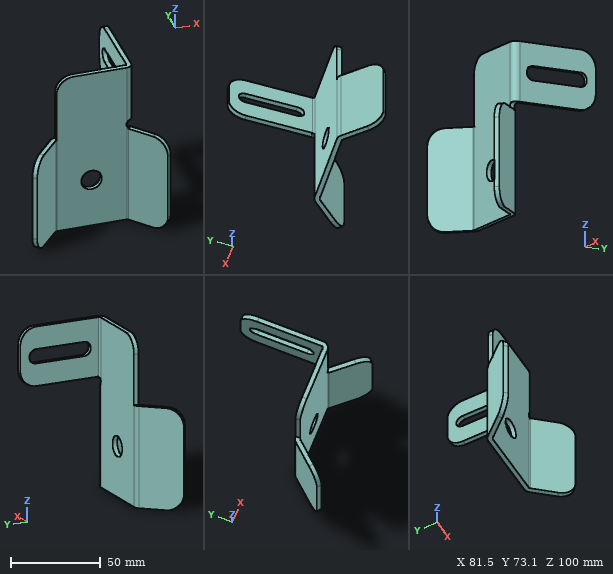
import cadquery as cq
import math

thickness = 3.0
inner_radius = 1.0
outer_radius = inner_radius + thickness
corner_radius = 10.0

height = 100.0
bend_x = 20.6
hole_diameter = 12.0
hole_height = 30.0

overall_width = 81.5
wing_height = 60.0
wing_angle = 49.0
wing_sine = math.sin(math.radians(wing_angle))
wing_cosine = math.cos(math.radians(wing_angle))
wing_length = (overall_width / 2 - bend_x - outer_radius * wing_sine) / wing_cosine

flange_angle = 90.0
flange_reach = 50.0
flange_height = 35.0
slot_length = 38.5
slot_width = 8.4

flange_bottom = height - flange_height
relief_width = flange_bottom - wing_height
relief_radius = relief_width / 2


def make_plate():
    plate = cq.Workplane("XY").box(2 * bend_x, thickness, height, centered=(True, False, False))
    plate = plate.translate((0, -thickness, 0))
    plate = plate.edges("|Y and <X and >Z").fillet(corner_radius)
    hole = (
        cq.Workplane("XZ")
        .center(0, hole_height)
        .circle(hole_diameter / 2)
        .extrude(thickness)
    )
    return plate.cut(hole)


def make_bend(angle, bottom, top):
    """Curved strip at the right bend line; a positive angle folds towards +Y, a negative one towards -Y."""
    if angle > 0:
        side = 1
        center_y = inner_radius
    else:
        side = -1
        center_y = -outer_radius

    def bend_point(radius, turn):
        x = bend_x + radius * math.sin(math.radians(turn))
        y = center_y - side * radius * math.cos(math.radians(turn))
        return (x, y)

    full_turn = abs(angle)
    half_turn = full_turn / 2
    return (
        cq.Workplane("XY", origin=(0, 0, bottom))
        .moveTo(*bend_point(outer_radius, 0))
        .threePointArc(bend_point(outer_radius, half_turn), bend_point(outer_radius, full_turn))
        .lineTo(*bend_point(inner_radius, full_turn))
        .threePointArc(bend_point(inner_radius, half_turn), bend_point(inner_radius, 0))
        .close()
        .extrude(top - bottom)
    )


def make_right_wing():
    flat = (
        cq.Workplane("XY", origin=(bend_x, -thickness, 0))
        .box(wing_length, thickness, wing_height, centered=False)
        .edges("|Y and >X")
        .fillet(corner_radius)
    )
    axis_bottom = (bend_x, -outer_radius, 0)
    axis_top = (bend_x, -outer_radius, 1)
    flat = flat.rotate(axis_bottom, axis_top, -wing_angle)
    return flat.union(make_bend(-wing_angle, 0, wing_height))


def make_flange():
    flat = (
        cq.Workplane("XY", origin=(bend_x + inner_radius, inner_radius, flange_bottom))
        .box(thickness, flange_reach - inner_radius, flange_height, centered=False)
        .edges("|X and >Y")
        .fillet(corner_radius)
    )
    slot = (
        cq.Workplane("YZ", origin=(bend_x, 0, 0))
        .center(flange_reach / 2, flange_bottom + flange_height / 2)
        .slot2D(slot_length, slot_width)
        .extrude(outer_radius)
    )
    return flat.cut(slot).union(make_bend(flange_angle, flange_bottom, height))


def make_relief():
    center_x = bend_x + relief_radius
    center_z = wing_height + relief_radius
    round_end = (
        cq.Workplane("XZ")
        .center(center_x, center_z)
        .circle(relief_radius)
        .extrude(outer_radius, both=True)
    )
    straight = (
        cq.Workplane("XZ")
        .center(center_x + outer_radius / 2, center_z)
        .rect(outer_radius, relief_width)
        .extrude(outer_radius, both=True)
    )
    return round_end.union(straight)


def make_relief_corners():
    """Slivers of both bends that are left around the round end of the gap."""
    relief_middle = wing_height + relief_radius
    wing_corner = make_bend(-wing_angle, wing_height, relief_middle)
    flange_corner = make_bend(flange_angle, relief_middle, flange_bottom)
    return wing_corner.union(flange_corner).cut(make_relief())


right_wing = make_right_wing()
left_wing = right_wing.mirror("YZ")
result = make_plate().union(right_wing).union(left_wing)
result = result.union(make_flange()).union(make_relief_corners())